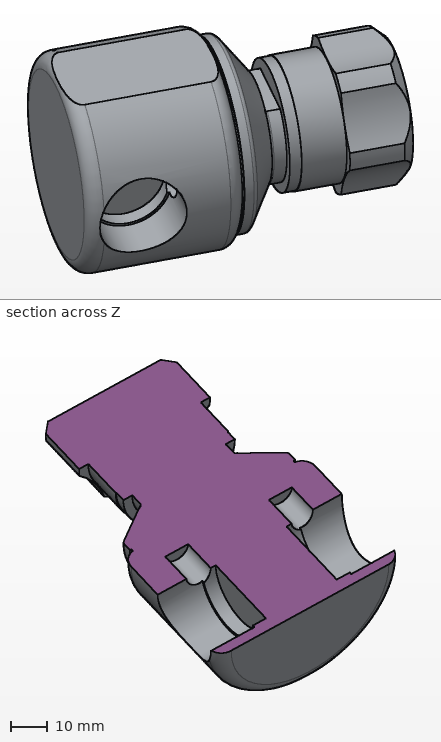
import cadquery as cq
import math


BODY_RADIUS = 62.23 / 2
BODY_ROUND = 4.5
BODY_END = 45.1
BODY_FLATS = 57.15
SLAB_WIDTH = 3 * BODY_RADIUS

GROOVE_RADIUS = 27.4
GROOVE_WIDTH = 0.45
FLANGE_START = BODY_END + GROOVE_WIDTH
FLANGE_RADIUS = 27.94
FLANGE_END = 48.9
FLANGE_ROUND = 1.4
CONE_END = 56.85
CONE_END_RADIUS = 16.5
NECK_RADIUS = 15.875
NECK_ROUND = CONE_END_RADIUS - NECK_RADIUS
NECK_FLATS = 25.4

COLLAR_START = 61.2
COLLAR_STEP = 64.55
COLLAR_RADIUS = 19.05
COLLAR_LIP_RADIUS = 18.85

NUT_START = 77.4
NUT_END = 96.39
NUT_RADIUS = 22.16
NUT_TIP_RADIUS = 19.1
NUT_CHAMFER_LENGTH = 3.3
SCALLOP_COUNT = 6
SCALLOP_FLOOR_RADIUS = 19.3
SCALLOP_HALF_WIDTH = 8.4

BORE_Y = 15.7
BORE_RADIUS = 12.4
BORE_FLOOR_X = 16.4
INNER_BORE_RADIUS = 11.7
INNER_BORE_FLOOR_X = 12.0

PORT_X = 17.5
PORT_RADIUS = 3.8
PORT_END = 38.0


def cylinder_along_y(radius, start, end, x=0.0):
    plane = cq.Plane(origin=(x, start, 0), xDir=(1, 0, 0), normal=(0, 1, 0))
    return cq.Workplane(plane).circle(radius).extrude(end - start)


def cylinder_along_x(radius, start, end):
    return cq.Workplane("YZ", origin=(start, 0, 0)).center(BORE_Y, 0).circle(radius).extrude(end - start)


def slab(start, end, thickness):
    """Block between two Y stations, limited in Z and wider than the part in X."""
    return cq.Workplane("XY").box(SLAB_WIDTH, end - start, thickness).translate((0, (start + end) / 2, 0))


def make_body():
    body = cylinder_along_y(BODY_RADIUS, 0, BODY_END).edges().fillet(BODY_ROUND)
    return body.intersect(slab(0, BODY_END, BODY_FLATS))


def make_flange():
    flange = (
        cq.Workplane("XY")
        .moveTo(0, FLANGE_START)
        .lineTo(FLANGE_RADIUS, FLANGE_START)
        .lineTo(FLANGE_RADIUS, FLANGE_END)
        .lineTo(CONE_END_RADIUS, CONE_END)
        .lineTo(0, CONE_END)
        .close()
        .revolve(360, (0, 0, 0), (0, 1, 0))
    )
    widest_circles = flange.edges("%CIRCLE").edges(cq.selectors.RadiusNthSelector(-1))
    flange = widest_circles.edges(">Y").fillet(FLANGE_ROUND)
    return flange.union(cylinder_along_y(GROOVE_RADIUS, BODY_END - BODY_ROUND, FLANGE_START))


def make_neck():
    """Neck with a flared root, cut by two wrench flats."""
    neck = (
        cq.Workplane("XY")
        .moveTo(0, CONE_END)
        .lineTo(CONE_END_RADIUS, CONE_END)
        .radiusArc((NECK_RADIUS, CONE_END + NECK_ROUND), NECK_ROUND)
        .lineTo(NECK_RADIUS, COLLAR_START)
        .lineTo(0, COLLAR_START)
        .close()
        .revolve(360, (0, 0, 0), (0, 1, 0))
    )
    return neck.intersect(slab(CONE_END, COLLAR_START, NECK_FLATS))


def make_collar():
    lip = cylinder_along_y(COLLAR_LIP_RADIUS, COLLAR_START, COLLAR_STEP)
    return lip.union(cylinder_along_y(COLLAR_RADIUS, COLLAR_STEP, NUT_START))


def make_nut():
    """Round nut with a conical tip and concave scallops around its side."""
    nut = (
        cq.Workplane("XY")
        .moveTo(0, NUT_START)
        .lineTo(NUT_RADIUS, NUT_START)
        .lineTo(NUT_RADIUS, NUT_END - NUT_CHAMFER_LENGTH)
        .lineTo(NUT_TIP_RADIUS, NUT_END)
        .lineTo(0, NUT_END)
        .close()
        .revolve(360, (0, 0, 0), (0, 1, 0))
    )
    rib_edge_height = math.sqrt(NUT_RADIUS**2 - SCALLOP_HALF_WIDTH**2)
    sagitta = rib_edge_height - SCALLOP_FLOOR_RADIUS
    scallop_radius = (SCALLOP_HALF_WIDTH**2 + sagitta**2) / (2 * sagitta)
    cutter = cylinder_along_y(scallop_radius, NUT_START, NUT_END)
    cutter = cutter.translate((0, 0, SCALLOP_FLOOR_RADIUS + scallop_radius))
    for index in range(SCALLOP_COUNT):
        angle = index * 360 / SCALLOP_COUNT
        nut = nut.cut(cutter.rotate((0, 0, 0), (0, 1, 0), angle))
    return nut


def make_side_bore():
    """Removed volume of the stepped bore and its port on the -X side."""
    bore = cylinder_along_x(BORE_RADIUS, -BODY_RADIUS, -BORE_FLOOR_X)
    inner_bore = cylinder_along_x(INNER_BORE_RADIUS, -BORE_FLOOR_X, -INNER_BORE_FLOOR_X)
    port = cylinder_along_y(PORT_RADIUS, BORE_Y, PORT_END, -PORT_X)
    return bore.union(inner_bore).union(port)


result = make_body()
for section in (make_flange(), make_neck(), make_collar(), make_nut()):
    result = result.union(section)

side_bore = make_side_bore()
result = result.cut(side_bore).cut(side_bore.mirror("YZ"))